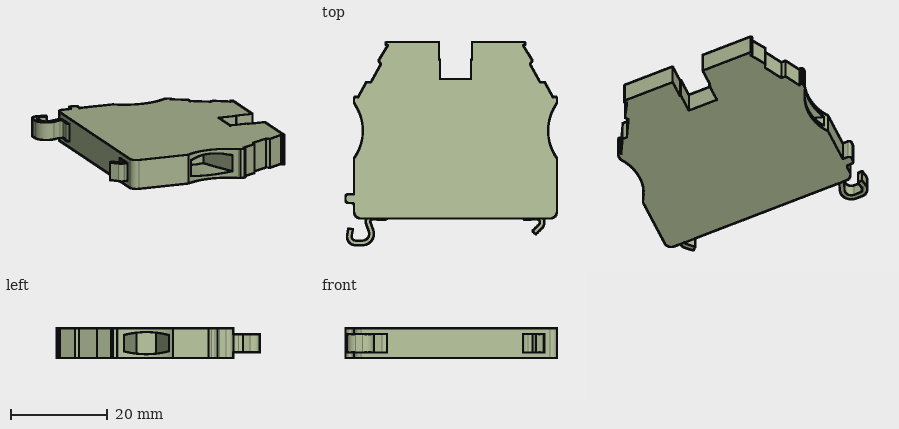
import cadquery as cq
import math

half_width = 20.98
height = 36.5
overall_height = 42.0
thickness = 6.2
base_corner_radius = 1.5

scoop_bottom = 12.45
scoop_top = 23.7
scoop_middle = (scoop_bottom + scoop_top) / 2
scoop_floor_x = 19.15
scoop_top_x = 20.85

shoulder = [
    (half_width, 24.05),
    (half_width, 24.85),
    (20.7, 25.2),
    (20.35, 25.2),
    (20.2, 25.0),
    (18.45, 28.2),
    (17.5, 28.2),
    (15.43, 31.9),
    (15.9, 32.65),
    (14.0, 35.8),
    (14.45, 35.95),
    (14.45, 36.3),
    (14.2, height),
]

slot_mouth_width = 6.77
slot_width = 6.35
slot_step_y = 32.8
slot_bottom = 28.85

tab_tip_x = -22.72
tab_bottom = 3.25
tab_top = 5.05
tab_tip_radius = 0.55
tab_root_radius = 0.45

funnel_y = 17.95
funnel_mouth_width = 9.35
funnel_end_width = 3.98
funnel_edge_height = 3.3
funnel_arch_height = 4.6
funnel_mouth_x = 20.35
funnel_end_x = 10.5

strip = 1.0
clip_width = 3.75
foot_drop = 0.155
foot_y = strip / 2 - foot_drop
bend_inner_radius = 0.45
bend_radius = bend_inner_radius + strip / 2
bend_y = foot_y - bend_radius
pad_drop = 0.3

hook_pad_end = -14.1
hook_pad_crest = -15.15
hook_pad_start = -16.82
hook_lean = 20
hook_bottom = height - overall_height
hook_inner_radius = 1.4
hook_radius = hook_inner_radius + strip / 2
hook_x = -19.23
hook_y = hook_bottom + strip / 2 + hook_radius
lip_lean = 10
lip_inner_radius = 0.8
lip_radius = lip_inner_radius + strip / 2
lip_x = -20.63
lip_y = hook_bottom + strip / 2 + lip_radius
lip_length = 1.45

latch_pad_end = 13.95
latch_pad_crest = 15.0
latch_pad_start = 15.95
latch_x = 16.9
latch_lower_bend_y = -0.87
latch_angle = 45
latch_tail_length = 1.92


def housing_outline():
    """Block with the scoops, shoulders and locating tab."""
    left_shoulder = [(-x, y) for x, y in reversed(shoulder)]
    profile = (
        cq.Workplane("XY")
        .workplane(offset=-thickness / 2)
        .moveTo(-half_width, 0)
        .lineTo(half_width, 0)
        .lineTo(half_width, scoop_bottom)
        .threePointArc((scoop_floor_x, scoop_middle), (scoop_top_x, scoop_top))
    )
    for corner in shoulder + left_shoulder:
        profile = profile.lineTo(*corner)
    block = (
        profile.lineTo(-scoop_top_x, scoop_top)
        .threePointArc((-scoop_floor_x, scoop_middle), (-half_width, scoop_bottom))
        .close()
        .extrude(thickness)
    )
    block = block.edges(vertical_edges_at(-half_width, 0)).fillet(base_corner_radius)
    block = block.edges(vertical_edges_at(half_width, 0)).fillet(base_corner_radius)

    tab = cq.Workplane("XY").box(
        -half_width - tab_tip_x, tab_top - tab_bottom, thickness, centered=(False, False, True)
    ).translate((tab_tip_x, tab_bottom, 0))
    tab = tab.edges("|Z and <X").fillet(tab_tip_radius)
    return block.union(tab).edges(vertical_edges_at(-half_width, tab_bottom)).fillet(tab_root_radius)


def vertical_edges_at(x, y):
    """Selector for the Z-parallel edge through (x, y)."""
    reach = 0.05
    return cq.selectors.BoxSelector(
        (x - reach, y - reach, -thickness), (x + reach, y + reach, thickness)
    )


def top_slot():
    mouth_half = slot_mouth_width / 2
    bottom_half = slot_width / 2
    right_side = [(bottom_half, slot_bottom), (bottom_half, slot_step_y),
                  (mouth_half, slot_step_y), (mouth_half, height)]
    left_side = [(-x, y) for x, y in reversed(right_side)]
    return (
        cq.Workplane("XY")
        .polyline(right_side + left_side)
        .close()
        .extrude(thickness / 2, both=True)
    )


def left_funnel():
    """Arched prism along X, trimmed to the converging side walls."""
    mouth_half = funnel_mouth_width / 2
    end_half = funnel_end_width / 2
    edge_z = funnel_edge_height / 2
    arch_z = funnel_arch_height / 2
    arched = (
        cq.Workplane("YZ")
        .workplane(offset=-half_width)
        .moveTo(funnel_y - mouth_half, -edge_z)
        .threePointArc((funnel_y, -arch_z), (funnel_y + mouth_half, -edge_z))
        .lineTo(funnel_y + mouth_half, edge_z)
        .threePointArc((funnel_y, arch_z), (funnel_y - mouth_half, edge_z))
        .close()
        .extrude(half_width - funnel_end_x)
    )
    walls = (
        cq.Workplane("XY")
        .polyline([
            (-half_width, funnel_y - mouth_half),
            (-funnel_mouth_x, funnel_y - mouth_half),
            (-funnel_end_x, funnel_y - end_half),
            (-funnel_end_x, funnel_y + end_half),
            (-funnel_mouth_x, funnel_y + mouth_half),
            (-half_width, funnel_y + mouth_half),
        ])
        .close()
        .extrude(thickness / 2, both=True)
    )
    return arched.intersect(walls)


def make_housing():
    funnel = left_funnel()
    return housing_outline().cut(top_slot()).cut(funnel).cut(funnel.mirror("YZ"))


def on_circle(centre, radius, angle):
    """Point on a circle at an angle in degrees."""
    turn = math.radians(angle)
    return centre[0] + radius * math.cos(turn), centre[1] + radius * math.sin(turn)


def make_clip(pad, bends, tail):
    """Strip swept through its bends (centre, radius, start angle, end angle), cut off flush with the base.

    pad lists the x of the rounded end, crest and start of the wedge under the foot; tail is the
    (x, y) run of the free end past the last bend.
    """
    pad_end, pad_crest, pad_start = pad
    path = cq.Workplane("XY").moveTo(pad_start, foot_y)
    for centre, radius, start, end in bends:
        path = path.lineTo(*on_circle(centre, radius, start))
        path = path.threePointArc(
            on_circle(centre, radius, (start + end) / 2), on_circle(centre, radius, end)
        )
    path = path.line(*tail)
    swept = cq.Workplane("YZ", origin=(pad_start, foot_y, 0)).rect(strip, clip_width).sweep(path)
    above_base = cq.Workplane("XY").box(
        2 * half_width, strip, thickness, centered=(True, False, True)
    )
    wedge = (
        cq.Workplane("XY")
        .moveTo(pad_start, 0)
        .lineTo(pad_start, -foot_drop)
        .lineTo(pad_crest, -pad_drop)
        .tangentArcPoint((pad_end, 0), relative=False)
        .close()
        .extrude(clip_width / 2, both=True)
    )
    return swept.cut(above_base).union(wedge)


def make_hook_clip():
    lean = math.radians(hook_lean)
    neck_bottom = on_circle((hook_x, hook_y), hook_radius, hook_lean)
    neck_top_y = bend_y - bend_radius * math.sin(lean)
    neck_top_x = neck_bottom[0] - (neck_top_y - neck_bottom[1]) * math.tan(lean)
    bend_x = neck_top_x + bend_radius * math.cos(lean)
    bends = [
        ((bend_x, bend_y), bend_radius, 90, 180 + hook_lean),
        ((hook_x, hook_y), hook_radius, hook_lean, -90),
        ((lip_x, lip_y), lip_radius, -90, -180 - lip_lean),
    ]
    tail = on_circle((0, 0), lip_length, 90 - lip_lean)
    return make_clip((hook_pad_end, hook_pad_crest, hook_pad_start), bends, tail)


def make_latch_clip():
    bends = [
        ((latch_x, bend_y), bend_radius, 90, 0),
        ((latch_x, latch_lower_bend_y), bend_radius, 0, -latch_angle),
    ]
    tail = on_circle((0, 0), latch_tail_length, -90 - latch_angle)
    return make_clip((latch_pad_end, latch_pad_crest, latch_pad_start), bends, tail)


housing = make_housing()
hook_clip = make_hook_clip()
latch_clip = make_latch_clip()

result = cq.Compound.makeCompound([housing.val(), hook_clip.val(), latch_clip.val()])